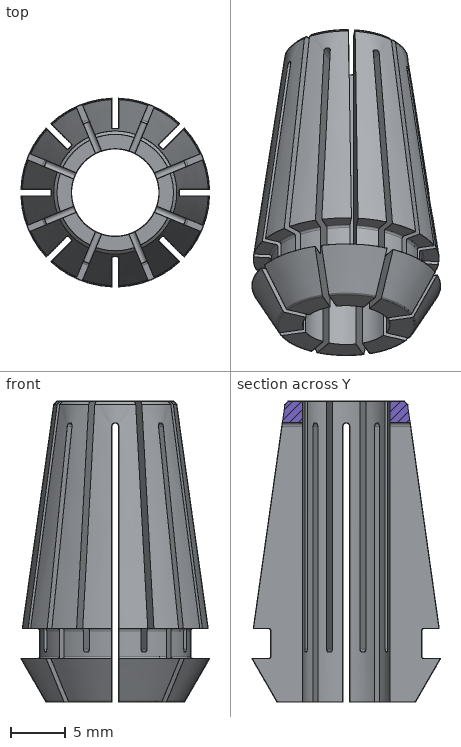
import cadquery as cq
import math

total_height = 27.5
flange_height = 4.0
taper_start = 6.7

flange_diameter = 17.25
bore_radius = 4.0
neck_radius = 6.9
flange_radius = flange_diameter / 2
taper_large_radius = 8.5

taper_angle = math.radians(8)
nose_angle = math.radians(30)

top_chamfer = 0.3
neck_fillet = 0.2
nose_fillet = neck_fillet

slot_count = 8
slot_width = 0.6
nose_slot_end = 25.5
back_slot_end = 4.56
slot_end_clearance = 0.55

nose_radius = flange_radius - flange_height * math.tan(nose_angle)
chamfer_start = total_height - top_chamfer
taper_small_radius = taper_large_radius - (chamfer_start - taper_start) * math.tan(taper_angle)
slot_pitch = 360 / slot_count
nose_slot_open = -slot_end_clearance
back_slot_open = total_height + slot_end_clearance


def collet_body():
    """Revolved collet: nose cone, filleted neck groove, long taper, plain bore and rounded nose rim."""
    arc_inset = neck_fillet * (1 - math.sqrt(0.5))
    return (
        cq.Workplane("XZ")
        .moveTo(bore_radius, 0)
        .lineTo(nose_radius, 0)
        .lineTo(flange_radius, flange_height)
        .lineTo(neck_radius + neck_fillet, flange_height)
        .threePointArc(
            (neck_radius + arc_inset, flange_height + arc_inset),
            (neck_radius, flange_height + neck_fillet),
        )
        .lineTo(neck_radius, taper_start - neck_fillet)
        .threePointArc(
            (neck_radius + arc_inset, taper_start - arc_inset),
            (neck_radius + neck_fillet, taper_start),
        )
        .lineTo(taper_large_radius, taper_start)
        .lineTo(taper_small_radius, chamfer_start)
        .lineTo(taper_small_radius - top_chamfer, total_height)
        .lineTo(bore_radius, total_height)
        .close()
        .revolve(360, (0, 0), (0, 1))
        .faces("<Z")
        .edges(cq.selectors.RadiusNthSelector(-1))
        .fillet(nose_fillet)
    )


def slot_cutter(open_height, round_height, angle):
    """Radial slot from the axis outwards, open at one height and fully rounded at the other."""
    half_width = slot_width / 2
    inward = math.copysign(half_width, open_height - round_height)
    reach = flange_radius + slot_end_clearance
    return (
        cq.Workplane("YZ")
        .moveTo(-half_width, open_height)
        .lineTo(-half_width, round_height + inward)
        .threePointArc((0, round_height), (half_width, round_height + inward))
        .lineTo(half_width, open_height)
        .close()
        .extrude(reach)
        .rotate((0, 0, 0), (0, 0, 1), angle)
    )


result = collet_body()
for index in range(slot_count):
    nose_slot_angle = index * slot_pitch
    back_slot_angle = nose_slot_angle + slot_pitch / 2
    result = result.cut(slot_cutter(nose_slot_open, nose_slot_end, nose_slot_angle))
    result = result.cut(slot_cutter(back_slot_open, back_slot_end, back_slot_angle))